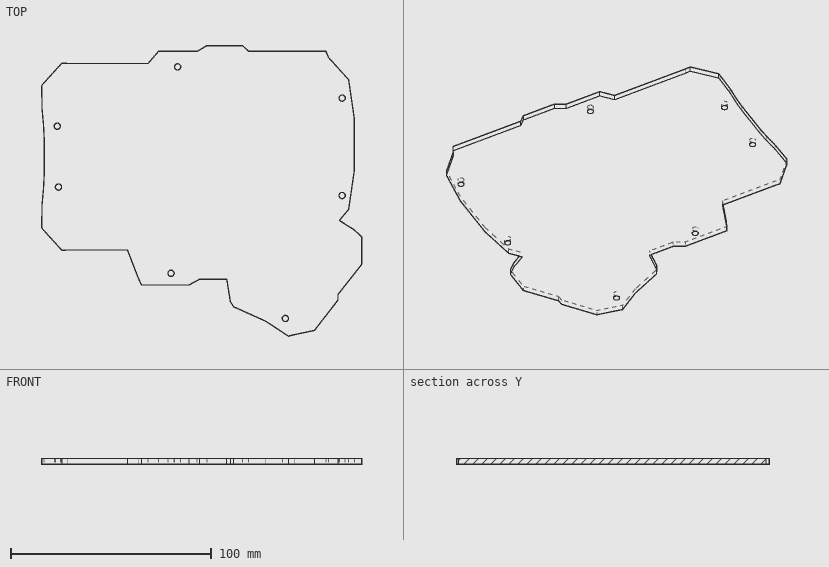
import cadquery as cq

LENGTH = 159.43
WIDTH = 144.69
THICKNESS = 3.0
HOLE_DIAMETER = 3.0

LEFT_X = -LENGTH / 2
RIGHT_X = LENGTH / 2
TOP_Y = WIDTH / 2
BOTTOM_Y = -WIDTH / 2

LEFT_AXIS_Y = 17.0
LEFT_HALF_HEIGHT = 46.5
LEFT_CORNER_RISE = 0.15

COLUMN_HEIGHT = 116.4
COLUMN_STAGGER = 2.85
SHOULDER_Y = TOP_Y - COLUMN_STAGGER
MIDDLE_BOTTOM_Y = TOP_Y - COLUMN_HEIGHT
SHOULDER_BOTTOM_Y = SHOULDER_Y - COLUMN_HEIGHT

RIGHT_AXIS_Y = 23.05
BULGE_X = 76.0
BULGE_HALF_HEIGHT = 12.8
BULGE_CORNER_X = 73.15
BULGE_CORNER_HALF_HEIGHT = 32.3

LEFT_SIDE_PROFILE = [
    (-66.9, LEFT_HALF_HEIGHT),
    (-69.6, LEFT_HALF_HEIGHT + LEFT_CORNER_RISE),
    (-79.6, 35.6),
    (LEFT_X, 34.4),
    (-79.5, 23.4),
    (-78.8, 15.7),
    (-78.5, 9.7),
]

HOLE_CENTRES = [
    (-71.9, 32.2),
    (-71.3, 1.9),
    (-12.0, 61.7),
    (-15.3, -41.0),
    (69.9, 46.2),
    (69.9, -2.3),
    (41.6, -63.5),
]


def left_side():
    """Left side, climbing from the lower horizontal edge to the upper one."""
    lower = [(x, LEFT_AXIS_Y - offset) for x, offset in LEFT_SIDE_PROFILE]
    upper = [(x, LEFT_AXIS_Y + offset) for x, offset in reversed(LEFT_SIDE_PROFILE)]
    return lower + upper


def top_edge():
    """Upper edge from left to right, stepping over the staggered columns."""
    return [
        (-26.7, LEFT_AXIS_Y + LEFT_HALF_HEIGHT),
        (-21.5, SHOULDER_Y),
        (-2.3, SHOULDER_Y),
        (2.6, TOP_Y),
        (20.3, TOP_Y),
        (23.3, SHOULDER_Y),
        (61.8, SHOULDER_Y),
        (63.2, 66.3),
    ]


def right_side():
    """Bulged right side from top to bottom, ending in the notch above the thumb area."""
    return [
        (BULGE_CORNER_X, RIGHT_AXIS_Y + BULGE_CORNER_HALF_HEIGHT),
        (BULGE_X, RIGHT_AXIS_Y + BULGE_HALF_HEIGHT),
        (BULGE_X, RIGHT_AXIS_Y - BULGE_HALF_HEIGHT),
        (BULGE_CORNER_X, RIGHT_AXIS_Y - BULGE_CORNER_HALF_HEIGHT),
        (68.5, -14.7),
    ]


def thumb_area():
    """Slanted thumb area, clockwise from the notch to the middle column."""
    return [
        (75.8, -19.3),
        (RIGHT_X, -22.9),
        (RIGHT_X, -36.5),
        (67.9, -51.5),
        (67.8, -54.4),
        (56.1, -69.5),
        (46.1, -71.6),
        (43.1, BOTTOM_Y),
        (31.8, -64.9),
        (15.8, -57.7),
        (14.2, -55.2),
        (12.4, MIDDLE_BOTTOM_Y),
    ]


def bottom_edge():
    """Lower edge of the columns, from the thumb area back to the left block."""
    return [
        (-1.1, MIDDLE_BOTTOM_Y),
        (-6.4, SHOULDER_BOTTOM_Y),
        (-30.0, SHOULDER_BOTTOM_Y),
        (-31.6, -43.5),
        (-37.0, LEFT_AXIS_Y - LEFT_HALF_HEIGHT),
    ]


def plate():
    """Solid plate bounded by the outline, traced clockwise."""
    outline = left_side() + top_edge() + right_side() + thumb_area() + bottom_edge()
    return cq.Workplane("XY").polyline(outline).close().extrude(THICKNESS)


def screw_holes():
    """Cylinders that clear the screw holes through the full thickness."""
    centres = cq.Workplane("XY").pushPoints(HOLE_CENTRES)
    return centres.circle(HOLE_DIAMETER / 2).extrude(THICKNESS)


result = plate().cut(screw_holes())